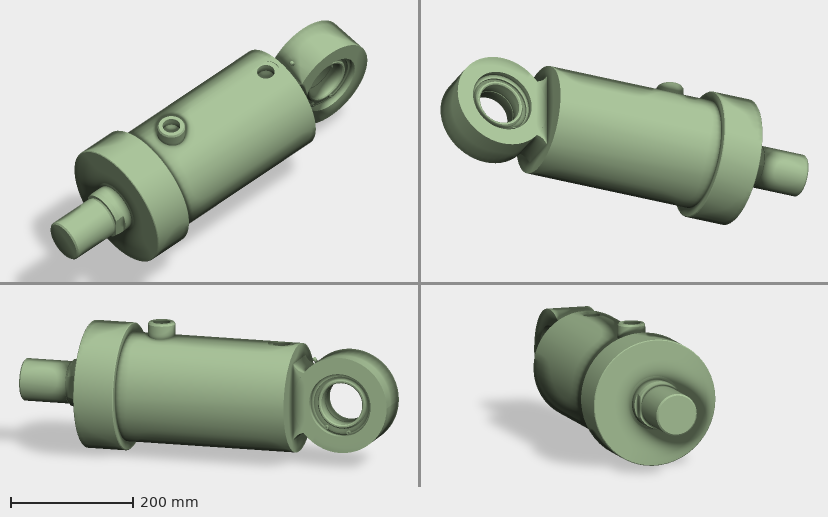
import cadquery as cq
import math


OVERALL_LENGTH = 629

EYE_DIAMETER = 160.0
EYE_WIDTH = 70.0
NECK_WIDTH = 69.0
NECK_TOP_HALF_HEIGHT = 64.0
NECK_EYE_HALF_HEIGHT = 50.0
NECK_ARC_SAG = 2.8
SEAT_DIAMETER = 105.0
CLIP_GROOVE_DIAMETER = 109.0

BARREL_DIAMETER = 180.0
BARREL_REAR_Y = -EYE_DIAMETER / 2
FLANGE_DIAMETER = 210.0
FLANGE_REAR_Y = -367.0
FLANGE_LENGTH = 68.0
FLANGE_FRONT_Y = FLANGE_REAR_Y - FLANGE_LENGTH
FLANGE_CHAMFER = 1.0
LIP_BASE_DIAMETER = 89.0
LIP_TIP_DIAMETER = 82.0
LIP_HEIGHT = 1.0

PORT_DIAMETER = 29.0
PORT_DEPTH = 14.5
PORT_TIP_ANGLE = 118
PORT_PAD_DIAMETER = 45.0
REAR_PORT_Y = -110.0
SPOT_FACE_DEPTH = 1.6
REAR_PORT_FACE_Z = BARREL_DIAMETER / 2 - SPOT_FACE_DEPTH
FRONT_PORT_Y = -315.0
FRONT_PORT_FACE_Z = 112.0
BOSS_CHAMFER_RADIAL = 2.0
BOSS_CHAMFER_HEIGHT = 3.0

NIPPLE_ANGLE = 51
NIPPLE_STEM_DIAMETER = 5.7
NIPPLE_HEAD_DIAMETER = 7.0
NIPPLE_TIP_DIAMETER = 3.0
NIPPLE_STEM_HEIGHT = 4.5
NIPPLE_HEAD_HEIGHT = 2.5
NIPPLE_TIP_HEIGHT = 2.0
NIPPLE_EMBED = 2.0

ROD_DIAMETER = 80.0
SHOULDER_TIP_DIAMETER = 77.5
UNDERCUT_DIAMETER = 67.0
THREAD_DIAMETER = 70.0
THREAD_CHAMFER = 2.5
ROD_TIP_Y = EYE_DIAMETER / 2 - OVERALL_LENGTH
SHOULDER_START_Y = -457.0
SHOULDER_END_Y = -465.0
THREAD_START_Y = -470.0
FLAT_START_Y = -449.5
FLATS_WIDTH = 70.0

BEARING_BORE = 70.0
BEARING_OUTER_WIDTH = 40.0
BEARING_INNER_WIDTH = 51.5
BALL_DIAMETER = 94.0
BEARING_EDGE_CHAMFER = 1.0
BORE_CHAMFER = 2.0
OIL_GROOVE_WIDTH = 4.5
OIL_GROOVE_DEPTH = 1.0
OIL_HOLE_DIAMETER = 5.7
OIL_HOLE_ANGLE = -107

CLIP_THICKNESS = 4.0
CLIP_STARTS = (-BEARING_OUTER_WIDTH / 2 - CLIP_THICKNESS, BEARING_OUTER_WIDTH / 2)
CLIP_INNER_DIAMETER = 95.5
CLIP_INNER_OFFSET = 2.0
CLIP_GAP_ANGLE = 46
CLIP_TURN = 10
LUG_DIAMETER = 7.0
LUG_HOLE_DIAMETER = 3.5
LUG_RADIUS = 49.0


def disc_x(diameter, x_start, length, y=0, z=0):
    """Cylinder along X, starting at x_start."""
    return cq.Workplane("YZ", origin=(x_start, 0, 0)).center(y, z).circle(diameter / 2).extrude(length)


def disc_y(diameter, y_start, y_end):
    """Cylinder along Y from y_start towards -Y, ending at y_end."""
    return cq.Workplane("XZ", origin=(0, y_start, 0)).circle(diameter / 2).extrude(y_start - y_end)


def cone_y(start_diameter, end_diameter, y_start, y_end):
    """Cone frustum along Y from y_start towards -Y, ending at y_end."""
    return (
        cq.Workplane("XZ", origin=(0, y_start, 0))
        .circle(start_diameter / 2)
        .workplane(offset=y_start - y_end)
        .circle(end_diameter / 2)
        .loft()
    )


def make_neck():
    """Web with concave flanks that joins the eye to the rear face of the barrel."""
    eye_radius = EYE_DIAMETER / 2
    eye_y = -math.sqrt(eye_radius**2 - NECK_EYE_HALF_HEIGHT**2)
    chord_y = BARREL_REAR_Y - eye_y
    chord_z = NECK_TOP_HALF_HEIGHT - NECK_EYE_HALF_HEIGHT
    chord = math.hypot(chord_y, chord_z)
    middle_y = (eye_y + BARREL_REAR_Y) / 2 + NECK_ARC_SAG * -chord_z / chord
    middle_z = (NECK_EYE_HALF_HEIGHT + NECK_TOP_HALF_HEIGHT) / 2 + NECK_ARC_SAG * chord_y / chord
    return (
        cq.Workplane("YZ")
        .moveTo(eye_y, -NECK_EYE_HALF_HEIGHT)
        .threePointArc((middle_y, -middle_z), (BARREL_REAR_Y, -NECK_TOP_HALF_HEIGHT))
        .lineTo(BARREL_REAR_Y, NECK_TOP_HALF_HEIGHT)
        .threePointArc((middle_y, middle_z), (eye_y, NECK_EYE_HALF_HEIGHT))
        .close()
        .extrude(NECK_WIDTH / 2, both=True)
    )


def make_port_cutter(y, face_z):
    """Blind drilled hole with a conical bottom, entering downwards from face_z."""
    radius = PORT_DIAMETER / 2
    tip_height = radius / math.tan(math.radians(PORT_TIP_ANGLE / 2))
    return (
        cq.Workplane("XZ", origin=(0, y, face_z))
        .polyline([(0, 0), (radius, 0), (radius, -PORT_DEPTH), (0, -PORT_DEPTH - tip_height)])
        .close()
        .revolve(360, (0, 0), (0, 1))
    )


def make_nipple():
    """Grease nipple standing radially on the rim of the eye, above the neck."""
    stem = NIPPLE_STEM_DIAMETER / 2
    head = NIPPLE_HEAD_DIAMETER / 2
    tip = NIPPLE_TIP_DIAMETER / 2
    head_bottom = NIPPLE_STEM_HEIGHT
    head_top = head_bottom + NIPPLE_HEAD_HEIGHT
    tip_top = head_top + NIPPLE_TIP_HEIGHT
    outline = [
        (0, -NIPPLE_EMBED),
        (stem, -NIPPLE_EMBED),
        (stem, head_bottom),
        (head, head_bottom),
        (head, head_top),
        (tip, tip_top),
        (0, tip_top),
    ]
    nipple = cq.Workplane("XZ").polyline(outline).close().revolve(360, (0, 0), (0, 1))
    nipple = nipple.translate((0, 0, EYE_DIAMETER / 2))
    return nipple.rotate((0, 0, 0), (1, 0, 0), 90 - NIPPLE_ANGLE)


def make_housing():
    """Eye, barrel, flange and ports in one piece."""
    eye = disc_x(EYE_DIAMETER, -EYE_WIDTH / 2, EYE_WIDTH)
    barrel = disc_y(BARREL_DIAMETER, BARREL_REAR_Y, FLANGE_REAR_Y)
    flange = disc_y(FLANGE_DIAMETER, FLANGE_REAR_Y, FLANGE_FRONT_Y).edges().chamfer(FLANGE_CHAMFER)
    lip = cone_y(LIP_BASE_DIAMETER, LIP_TIP_DIAMETER, FLANGE_FRONT_Y, FLANGE_FRONT_Y - LIP_HEIGHT)
    boss = (
        cq.Workplane("XY", origin=(0, FRONT_PORT_Y, 0))
        .circle(PORT_PAD_DIAMETER / 2)
        .extrude(FRONT_PORT_FACE_Z)
        .faces(">Z")
        .chamfer(BOSS_CHAMFER_HEIGHT, BOSS_CHAMFER_RADIAL)
    )
    spot_face = (
        cq.Workplane("XY", origin=(0, REAR_PORT_Y, REAR_PORT_FACE_Z))
        .circle(PORT_PAD_DIAMETER / 2)
        .extrude(SPOT_FACE_DEPTH)
    )
    body = barrel.union(flange).union(lip).union(boss)
    body = body.union(make_neck()).union(eye).union(make_nipple())
    body = body.cut(disc_x(SEAT_DIAMETER, -EYE_WIDTH / 2, EYE_WIDTH))
    for groove_x in CLIP_STARTS:
        body = body.cut(disc_x(CLIP_GROOVE_DIAMETER, groove_x, CLIP_THICKNESS))
    body = body.cut(spot_face)
    body = body.cut(make_port_cutter(REAR_PORT_Y, REAR_PORT_FACE_Z))
    body = body.cut(make_port_cutter(FRONT_PORT_Y, FRONT_PORT_FACE_Z))
    return body.cut(disc_y(ROD_DIAMETER, FLANGE_REAR_Y, FLANGE_FRONT_Y - LIP_HEIGHT))


def make_rod():
    """Stepped rod with a threaded end and two wrench flats, seated in the flange."""
    thread = disc_y(THREAD_DIAMETER, THREAD_START_Y, ROD_TIP_Y).faces("<Y").chamfer(THREAD_CHAMFER)
    rod = (
        disc_y(ROD_DIAMETER, FLANGE_REAR_Y, SHOULDER_START_Y)
        .union(cone_y(ROD_DIAMETER, SHOULDER_TIP_DIAMETER, SHOULDER_START_Y, SHOULDER_END_Y))
        .union(disc_y(UNDERCUT_DIAMETER, SHOULDER_END_Y, THREAD_START_Y))
        .union(thread)
    )
    flat_length = FLAT_START_Y - SHOULDER_END_Y
    for side in (-1, 1):
        flat_cutter = cq.Workplane("XY").box(ROD_DIAMETER, flat_length, ROD_DIAMETER)
        flat_x = side * (FLATS_WIDTH + ROD_DIAMETER) / 2
        rod = rod.cut(flat_cutter.translate((flat_x, (FLAT_START_Y + SHOULDER_END_Y) / 2, 0)))
    return rod


def ball_point(x):
    """Point of the ball's half outline at the given distance along the bearing axis."""
    return (x, math.sqrt((BALL_DIAMETER / 2) ** 2 - x**2))


def make_bearing():
    """Spherical bearing: outer race around a bored ball with an oil groove and an oil hole."""
    bore = BEARING_BORE / 2
    seat = SEAT_DIAMETER / 2
    outer_half = BEARING_OUTER_WIDTH / 2
    inner_half = BEARING_INNER_WIDTH / 2
    groove_half = OIL_GROOVE_WIDTH / 2
    middle = (outer_half + inner_half) / 2
    bearing = (
        cq.Workplane("XY")
        .moveTo(-inner_half, bore + BORE_CHAMFER)
        .lineTo(*ball_point(-inner_half))
        .threePointArc(ball_point(-middle), ball_point(-outer_half))
        .lineTo(-outer_half, seat - BEARING_EDGE_CHAMFER)
        .lineTo(BEARING_EDGE_CHAMFER - outer_half, seat)
        .lineTo(outer_half - BEARING_EDGE_CHAMFER, seat)
        .lineTo(outer_half, seat - BEARING_EDGE_CHAMFER)
        .lineTo(*ball_point(outer_half))
        .threePointArc(ball_point(middle), ball_point(inner_half))
        .lineTo(inner_half, bore + BORE_CHAMFER)
        .lineTo(inner_half - BORE_CHAMFER, bore)
        .lineTo(groove_half, bore)
        .lineTo(groove_half, bore + OIL_GROOVE_DEPTH)
        .lineTo(-groove_half, bore + OIL_GROOVE_DEPTH)
        .lineTo(-groove_half, bore)
        .lineTo(BORE_CHAMFER - inner_half, bore)
        .close()
        .revolve(360, (0, 0), (1, 0))
    )
    oil_hole = (
        cq.Workplane("XY")
        .circle(OIL_HOLE_DIAMETER / 2)
        .extrude(SEAT_DIAMETER / 2)
        .rotate((0, 0, 0), (1, 0, 0), OIL_HOLE_ANGLE)
    )
    return bearing.cut(oil_hole)


def make_clip(x_start):
    """Eccentric retaining clip, open at the bottom, with a drilled lug on each end."""
    half_gap = math.radians(CLIP_GAP_ANGLE / 2)
    reach = CLIP_GROOVE_DIAMETER
    gap_corners = [
        (0, 0),
        (-reach * math.sin(half_gap), -reach * math.cos(half_gap)),
        (reach * math.sin(half_gap), -reach * math.cos(half_gap)),
    ]
    gap = cq.Workplane("YZ", origin=(x_start, 0, 0)).polyline(gap_corners).close().extrude(CLIP_THICKNESS)
    clip = disc_x(CLIP_GROOVE_DIAMETER, x_start, CLIP_THICKNESS)
    clip = clip.cut(disc_x(CLIP_INNER_DIAMETER, x_start, CLIP_THICKNESS, z=-CLIP_INNER_OFFSET)).cut(gap)
    for side in (-1, 1):
        lug_y = side * LUG_RADIUS * math.sin(half_gap)
        lug_z = -LUG_RADIUS * math.cos(half_gap)
        clip = clip.union(disc_x(LUG_DIAMETER, x_start, CLIP_THICKNESS, lug_y, lug_z))
        clip = clip.cut(disc_x(LUG_HOLE_DIAMETER, x_start, CLIP_THICKNESS, lug_y, lug_z))
    return clip.rotate((0, 0, 0), (1, 0, 0), -CLIP_TURN)


housing = make_housing()
rod = make_rod()
bearing = make_bearing()
clips = [make_clip(x_start).val() for x_start in CLIP_STARTS]

result = cq.Compound.makeCompound([housing.val(), rod.val(), bearing.val(), *clips])